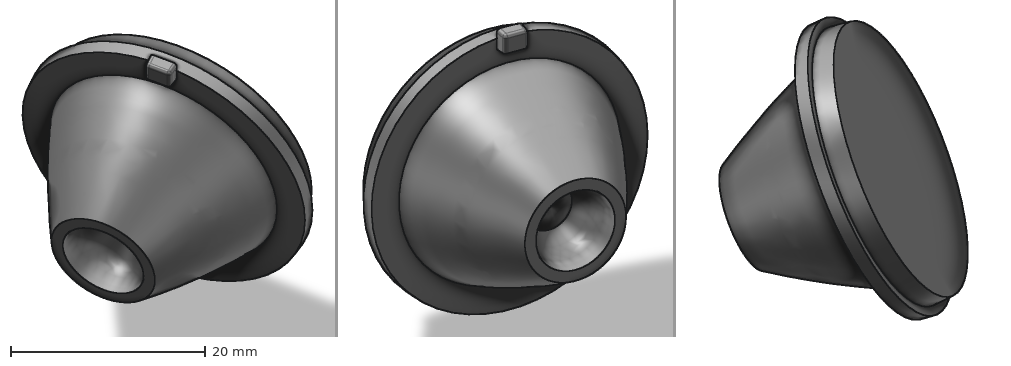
import cadquery as cq

length = 17.95
rear_ring_length = 2.35
flange_thickness = 1.55
flange_rear_y = length - rear_ring_length
flange_front_y = flange_rear_y - flange_thickness

rear_radius = 15.07
rear_ring_base_radius = 15.3
flange_rear_radius = 16.3
flange_front_radius = 16.2
reflector_radius = 13.0
nose_radius = 5.95
reflector_mid_radius = 9.85

mouth_radius = 4.63
floor_radius = 2.72
cavity_depth = 5.7
cavity_mid_radius = 4.23
ridge_radius = 1.5
ridge_height = 0.35
dimple_depth = 0.67

tab_top_z = 17.25
tab_height = 2.4
tab_width = 3.02
tab_length = 1.45
tab_draft = 4.0
tab_fillet = 0.4


def make_lens():
    """Revolve the rear ring, flange and curved reflector."""
    profile = (
        cq.Workplane("XY")
        .moveTo(0, 0)
        .lineTo(nose_radius, 0)
        .threePointArc((reflector_mid_radius, flange_front_y / 2), (reflector_radius, flange_front_y))
        .lineTo(flange_front_radius, flange_front_y)
        .lineTo(flange_rear_radius, flange_rear_y)
        .lineTo(rear_ring_base_radius, flange_rear_y)
        .lineTo(rear_radius, length)
        .lineTo(0, length)
        .close()
    )
    return profile.revolve(360, (0, 0, 0), (0, 1, 0))


def make_cavity():
    """Revolve the curved cavity wall and its dimpled floor."""
    profile = (
        cq.Workplane("XY")
        .moveTo(0, 0)
        .lineTo(mouth_radius, 0)
        .threePointArc((cavity_mid_radius, cavity_depth / 2), (floor_radius, cavity_depth))
        .spline(
            [
                (ridge_radius, cavity_depth - ridge_height),
                (0, cavity_depth - ridge_height + dimple_depth),
            ],
            includeCurrent=True,
        )
        .close()
    )
    return profile.revolve(360, (0, 0, 0), (0, 1, 0))


def make_tab():
    """Drafted block standing forward of the flange, rounded except along its lower edge."""
    tab = (
        cq.Workplane("XZ", origin=(0, flange_front_y, tab_top_z - tab_height / 2))
        .rect(tab_width, tab_height)
        .extrude(tab_length, taper=tab_draft)
    )
    lower_face_edges = tab.faces("<Z").edges().vals()
    base_edges = tab.faces(">Y").edges().vals()
    plain_edges = lower_face_edges + base_edges
    rounded = [e for e in tab.edges().vals() if not any(e.isSame(p) for p in plain_edges)]
    return tab.newObject(rounded).fillet(tab_fillet)


result = make_lens().cut(make_cavity()).union(make_tab())